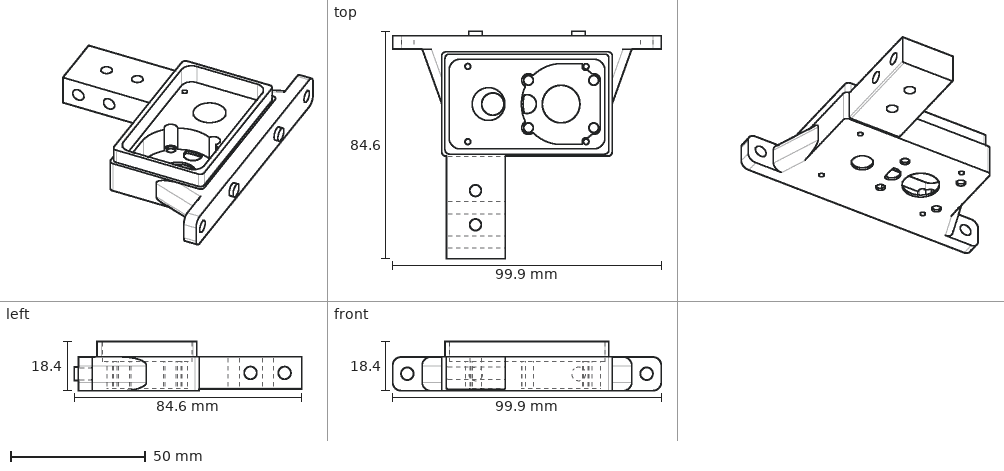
import cadquery as cq
import math

body_length = 63.4
body_width = 38.7
body_height = 12.7
corner_radius = 1.6

rim_length = 60.9
rim_width = 37.2
rim_top = 18.4

recess_length = 57.9
recess_width = 33.4
recess_corner_radius = 4.2
deck_height = 10.9
floor_thickness = 1.0

plate_length = 99.9
plate_thickness = 5.1
plate_back = 25.5
plate_front = plate_back - plate_thickness
plate_height = 12.6
plate_edge_radius = 3.2
plate_hole_spacing = 88.9
plate_hole_diameter = 4.6
mid_height = body_height / 2

peg_spacing = 38.3
peg_diameter = 5.1
peg_length = 1.6

gusset_half_span = 38.9
gusset_tip = 0.2

arm_width = 22.0
arm_centre = -19.0
arm_end = -57.5
arm_bottom = 0.6
arm_edge_radius = 0.6
arm_hole_pitch = 12.7
arm_hole_centre = -peg_spacing / 2
arm_vertical_hole_first = -44.8
arm_vertical_hole_diameter = 4.2
arm_cross_hole_first = -51.1
arm_cross_hole_diameter = 4.6
arm_cross_hole_height = (arm_bottom + body_height) / 2

motor_x = 12.7
motor_hole_diameter = 13.9
pocket_half_width = 15.0
pocket_arc_x = 13.0
pocket_arc_radius = 15.1
motor_screw_circle_radius = 15.0
motor_screw_angle = math.radians(36)
motor_screw_diameter = 3.5
motor_screw_relief_radius = 2.5
window_diameter = 6.9
window_wall_radius = 14.1

bore_x = -14.3
bore_diameter = 12.2
shaft_hole_x = -motor_x
shaft_hole_diameter = 8.2

cover_screw_x = 22.0
cover_screw_y = 14.0
cover_screw_diameter = 2.0
cover_screw_boss_radius = 1.5

screw_dx = motor_screw_circle_radius * math.cos(motor_screw_angle)
screw_y = motor_screw_circle_radius * math.sin(motor_screw_angle)


def block(length, width, bottom, top, radius):
    """Upright block centred on the Z axis with rounded vertical corners."""
    return (
        cq.Workplane("XY", origin=(0, 0, bottom))
        .rect(length, width)
        .extrude(top - bottom)
        .edges("|Z")
        .fillet(radius)
    )


def vertical_cylinders(points, diameter, bottom, top):
    return (
        cq.Workplane("XY", origin=(0, 0, bottom))
        .pushPoints(points)
        .circle(diameter / 2)
        .extrude(top - bottom)
    )


def make_plate():
    plate = (
        cq.Workplane("XY")
        .box(plate_length, plate_thickness, plate_height, centered=(True, False, False))
        .translate((0, plate_front, 0))
        .edges("|Y")
        .fillet(plate_edge_radius)
    )
    holes = (
        cq.Workplane("XZ", origin=(0, plate_front, mid_height))
        .rarray(plate_hole_spacing, 1, 2, 1)
        .circle(plate_hole_diameter / 2)
        .extrude(-plate_thickness)
    )
    pegs = (
        cq.Workplane("XZ", origin=(0, plate_back, mid_height))
        .rarray(peg_spacing, 1, 2, 1)
        .circle(peg_diameter / 2)
        .extrude(-peg_length)
    )
    return plate.cut(holes).union(pegs)


def make_gussets():
    """Trapezoid with rounded sloping ends; its middle lies inside the body."""
    half_body = body_length / 2
    return (
        cq.Workplane("XY")
        .polyline([
            (-gusset_half_span, plate_front),
            (-half_body, gusset_tip),
            (half_body, gusset_tip),
            (gusset_half_span, plate_front),
        ])
        .close()
        .extrude(plate_height)
        .edges("(<Z or >Z) and (not |X)")
        .fillet(plate_edge_radius)
    )


def make_arm():
    arm = (
        cq.Workplane("XY")
        .box(arm_width, -arm_end, body_height - arm_bottom, centered=(True, False, False))
        .translate((arm_centre, arm_end, arm_bottom))
        .edges("|Y and <Z")
        .fillet(arm_edge_radius)
    )
    vertical_points = [(arm_hole_centre, arm_vertical_hole_first + i * arm_hole_pitch) for i in range(2)]
    cross_points = [
        (arm_cross_hole_first + i * arm_hole_pitch, arm_cross_hole_height) for i in range(2)
    ]
    cross_holes = (
        cq.Workplane("YZ", origin=(arm_centre, 0, 0))
        .pushPoints(cross_points)
        .circle(arm_cross_hole_diameter / 2)
        .extrude(arm_width, both=True)
    )
    vertical_holes = vertical_cylinders(vertical_points, arm_vertical_hole_diameter, 0, body_height)
    return arm.cut(vertical_holes).cut(cross_holes)


def make_motor_pocket(screw_points):
    """Round-ended pocket with reliefs at the motor screws and two bosses left standing."""
    boss_side_x = cover_screw_x - cover_screw_boss_radius
    end_x = motor_x + screw_dx + motor_screw_relief_radius
    arc_end_x = pocket_arc_x - math.sqrt(pocket_arc_radius**2 - pocket_half_width**2)

    corner_radius_about_motor = math.hypot(boss_side_x - motor_x, cover_screw_y)
    corner_start_angle = math.acos((boss_side_x - motor_x) / corner_radius_about_motor)
    corner_end_angle = math.asin(screw_y / corner_radius_about_motor)
    corner_middle_angle = (corner_start_angle + corner_end_angle) / 2
    corner_middle_x = motor_x + corner_radius_about_motor * math.cos(corner_middle_angle)
    corner_middle_y = corner_radius_about_motor * math.sin(corner_middle_angle)
    corner_end_x = motor_x + corner_radius_about_motor * math.cos(corner_end_angle)

    pocket = (
        cq.Workplane("XY", origin=(0, 0, floor_thickness))
        .moveTo(arc_end_x, -pocket_half_width)
        .threePointArc((pocket_arc_x - pocket_arc_radius, 0), (arc_end_x, pocket_half_width))
        .lineTo(boss_side_x, pocket_half_width)
        .lineTo(boss_side_x, cover_screw_y)
        .threePointArc((corner_middle_x, corner_middle_y), (corner_end_x, screw_y))
        .lineTo(end_x, screw_y)
        .lineTo(end_x, -screw_y)
        .lineTo(corner_end_x, -screw_y)
        .threePointArc((corner_middle_x, -corner_middle_y), (boss_side_x, -cover_screw_y))
        .lineTo(boss_side_x, -pocket_half_width)
        .close()
        .extrude(deck_height - floor_thickness)
    )
    reliefs = vertical_cylinders(
        screw_points, 2 * motor_screw_relief_radius, floor_thickness, deck_height
    )
    boss_points = [(cover_screw_x, cover_screw_y), (cover_screw_x, -cover_screw_y)]
    bosses = vertical_cylinders(
        boss_points, 2 * cover_screw_boss_radius, floor_thickness, deck_height
    )
    return pocket.union(reliefs).cut(bosses)


def make_window():
    """Round floor opening, trimmed on one side by an arc about the motor axis."""
    opening = vertical_cylinders([(0, 0)], window_diameter, 0, floor_thickness)
    limit = vertical_cylinders([(motor_x, 0)], 2 * window_wall_radius, 0, floor_thickness)
    return opening.intersect(limit)


motor_screw_points = [
    (motor_x + side_x * screw_dx, side_y * screw_y) for side_x in (-1, 1) for side_y in (-1, 1)
]
cover_screw_points = [
    (side_x * cover_screw_x, side_y * cover_screw_y) for side_x in (-1, 1) for side_y in (-1, 1)
]

result = (
    block(body_length, body_width, 0, body_height, corner_radius)
    .union(make_plate())
    .union(make_gussets())
    .union(make_arm())
    .union(block(rim_length, rim_width, mid_height, rim_top, corner_radius))
    .cut(block(recess_length, recess_width, deck_height, rim_top, recess_corner_radius))
    .cut(make_motor_pocket(motor_screw_points))
    .cut(make_window())
    .cut(vertical_cylinders([(bore_x, 0)], bore_diameter, floor_thickness, deck_height))
    .cut(vertical_cylinders([(shaft_hole_x, 0)], shaft_hole_diameter, 0, deck_height))
    .cut(vertical_cylinders([(motor_x, 0)], motor_hole_diameter, 0, deck_height))
    .cut(vertical_cylinders(motor_screw_points, motor_screw_diameter, 0, deck_height))
    .cut(vertical_cylinders(cover_screw_points, cover_screw_diameter, 0, deck_height))
)